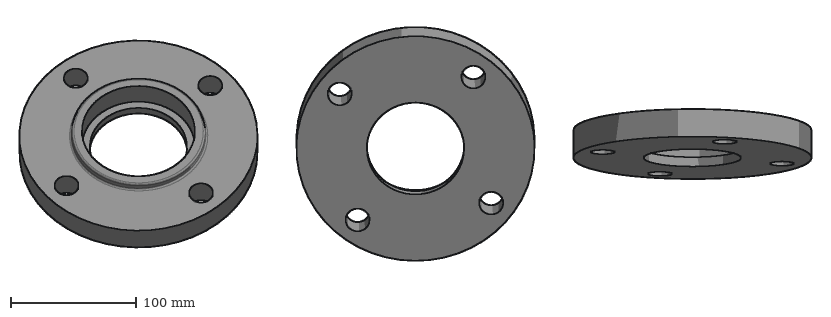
import cadquery as cq
import math

flange_diameter = 190.5
flange_thickness = 22.5

overall_height = 28.4
hub_base_radius = 53.9
hub_taper_angle = 7.0
hub_edge_radius = 1.7
hub_root_radius = 1.5

socket_diameter = 90.3
socket_depth = 20.8
bore_diameter = 77.7

bolt_hole_count = 4
bolt_hole_diameter = 19.0
bolt_circle_radius = 76.2

hub_height = overall_height - flange_thickness
hub_top_radius = hub_base_radius - hub_height * math.tan(math.radians(hub_taper_angle))


def make_blank():
    """Plate and hub turned about Z, with the hub's top edge and root rounded."""
    flange_radius = flange_diameter / 2
    profile = (
        cq.Workplane("XZ")
        .moveTo(0, 0)
        .lineTo(flange_radius, 0)
        .lineTo(flange_radius, flange_thickness)
        .lineTo(hub_base_radius, flange_thickness)
        .lineTo(hub_top_radius, overall_height)
        .lineTo(0, overall_height)
        .close()
    )
    blank = profile.revolve(360, (0, 0, 0), (0, 1, 0))
    hub_root_circle = cq.selectors.RadiusNthSelector(1)
    blank = blank.edges(hub_root_circle).fillet(hub_root_radius)
    return blank.faces(">Z").edges().fillet(hub_edge_radius)


def cut_stepped_bore(body):
    """Through bore widened by a socket open at the hub's top face."""
    hub_face = body.faces(">Z").workplane(origin=(0, 0, overall_height))
    return hub_face.cboreHole(bore_diameter, socket_diameter, socket_depth)


def cut_bolt_holes(body):
    """Through holes on the bolt circle, the first on the X axis."""
    holes = (
        cq.Workplane("XY")
        .polarArray(bolt_circle_radius, 0, 360, bolt_hole_count)
        .circle(bolt_hole_diameter / 2)
        .extrude(flange_thickness)
    )
    return body.cut(holes)


result = cut_bolt_holes(cut_stepped_bore(make_blank()))